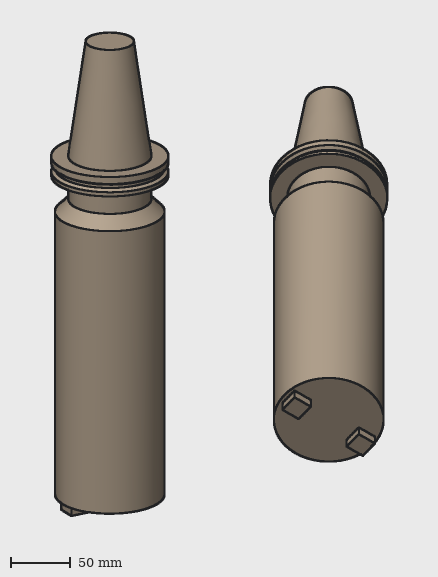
import cadquery as cq

total_length = 414.5

taper_tip_radius = 20.5
taper_base_radius = 35.0
flange_diameter = 98.2
flange_radius = flange_diameter / 2
groove_floor_radius = 45.5
neck_radius = taper_base_radius
body_radius = 46.0

taper_length = 101.5
collar_length = 1.2
upper_rim_height = 6.2
upper_groove_flank = 2.0
groove_floor_height = 3.0
lower_groove_flank = 2.5
lower_rim_height = 3.7
neck_length = 21.0
shoulder_height = 11.0

key_height = 8.5
key_width = 17.0
key_length = 17.0
key_center_offset = 33.5

taper_base_z = total_length - taper_length
flange_top_z = taper_base_z - collar_length
groove_top_z = flange_top_z - upper_rim_height
floor_top_z = groove_top_z - upper_groove_flank
floor_bottom_z = floor_top_z - groove_floor_height
groove_bottom_z = floor_bottom_z - lower_groove_flank
flange_bottom_z = groove_bottom_z - lower_rim_height
shoulder_top_z = flange_bottom_z - neck_length
body_top_z = shoulder_top_z - shoulder_height
body_bottom_z = key_height


def turned_body():
    """Taper, grooved flange, neck and cylindrical body as one revolved solid."""
    profile = [
        (0, total_length),
        (taper_tip_radius, total_length),
        (taper_base_radius, taper_base_z),
        (taper_base_radius, flange_top_z),
        (flange_radius, flange_top_z),
        (flange_radius, groove_top_z),
        (groove_floor_radius, floor_top_z),
        (groove_floor_radius, floor_bottom_z),
        (flange_radius, groove_bottom_z),
        (flange_radius, flange_bottom_z),
        (neck_radius, flange_bottom_z),
        (neck_radius, shoulder_top_z),
        (body_radius, body_top_z),
        (body_radius, body_bottom_z),
        (0, body_bottom_z),
    ]
    return cq.Workplane("XZ").polyline(profile).close().revolve(360, (0, 0), (0, 1))


def drive_keys():
    """Two rectangular keys on opposite sides of the axis along Y."""
    return (
        cq.Workplane("XY")
        .pushPoints([(0, -key_center_offset), (0, key_center_offset)])
        .rect(key_width, key_length)
        .extrude(key_height)
    )


result = turned_body().union(drive_keys())